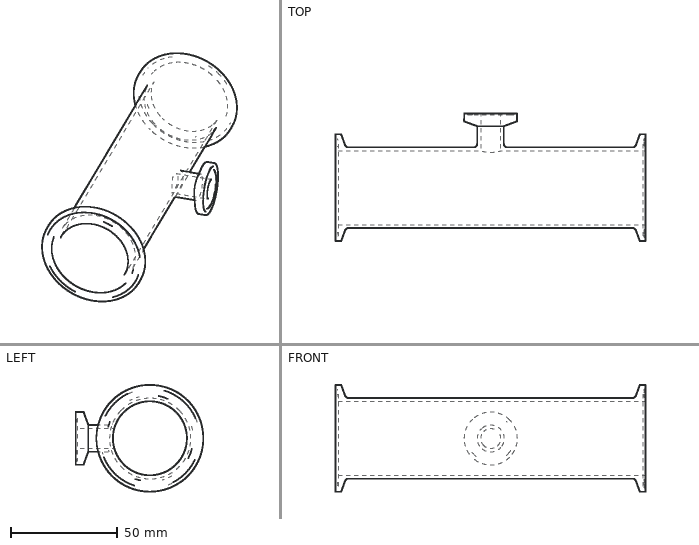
import cadquery as cq
import math

overall_length = 146.0
overall_width = 60.2

tube_diameter = 38.1
tube_bore = 34.8
end_rim_diameter = 50.4
end_rim_thickness = 2.8
end_ferrule_length = 12.4
end_neck_fillet = 1.3
end_groove_diameter = 43.8
end_groove_width = 3.2
end_groove_depth = 1.3

branch_diameter = 12.7
branch_bore = 9.3
branch_rim_diameter = 25.0
branch_rim_thickness = 3.8
branch_ferrule_length = 12.7
branch_groove_outer_diameter = 21.9
branch_groove_width = 1.6
branch_groove_depth = 0.7
branch_root_fillet = 1.5

clamp_angle = 20.0
rim_back_rounding = 0.5
face_edge_rounding = 0.3

half_length = overall_length / 2
branch_face_y = overall_width - end_rim_diameter / 2
stub_end_y = branch_face_y - branch_ferrule_length
tube_length = overall_length - 2 * end_ferrule_length
branch_groove_diameter = branch_groove_outer_diameter - branch_groove_width


def cone_height(rim_diameter, neck_diameter):
    """Height of the conical back between the rim and the neck."""
    return (rim_diameter - neck_diameter) / 2 * math.tan(math.radians(clamp_angle))


def circle_edge_at(height):
    """Selector for the circular edge centred on the Z axis at this height."""
    return cq.selectors.NearestToPointSelector((0, 0, height))


def ferrule_blank(rim_diameter, rim_thickness, neck_diameter, length):
    """Solid clamp ferrule with its face at z = 0 and its neck along +Z."""
    rim_radius = rim_diameter / 2
    neck_radius = neck_diameter / 2
    neck_start = rim_thickness + cone_height(rim_diameter, neck_diameter)
    blank = (
        cq.Workplane("XZ")
        .moveTo(0, 0)
        .lineTo(rim_radius, 0)
        .lineTo(rim_radius, rim_thickness)
        .lineTo(neck_radius, neck_start)
        .lineTo(neck_radius, length)
        .lineTo(0, length)
        .close()
        .revolve(360, (0, 0, 0), (0, 1, 0))
    )
    return blank.edges(circle_edge_at(rim_thickness)).fillet(rim_back_rounding)


def gasket_groove(middle_diameter, width, depth):
    """Ring with a circular section that cuts a groove of this width and depth at z = 0."""
    section_radius = (width ** 2 / 4 + depth ** 2) / (2 * depth)
    return (
        cq.Workplane("XZ")
        .center(middle_diameter / 2, depth - section_radius)
        .circle(section_radius)
        .revolve(360, (-middle_diameter / 2, 0, 0), (-middle_diameter / 2, 1, 0))
    )


def finish_face(ferrule, bore_diameter, length, groove):
    """Bore the ferrule, cut its gasket groove and round the edges of its face."""
    bore = cq.Workplane("XY").circle(bore_diameter / 2).extrude(length)
    return ferrule.cut(bore).cut(groove).faces("<Z").edges().fillet(face_edge_rounding)


def end_ferrule():
    blank = ferrule_blank(end_rim_diameter, end_rim_thickness, tube_diameter, end_ferrule_length)
    neck_start = end_rim_thickness + cone_height(end_rim_diameter, tube_diameter)
    blank = blank.edges(circle_edge_at(neck_start)).fillet(end_neck_fillet)
    groove = gasket_groove(end_groove_diameter, end_groove_width, end_groove_depth)
    return finish_face(blank, tube_bore, end_ferrule_length, groove)


def branch_ferrule():
    blank = ferrule_blank(
        branch_rim_diameter, branch_rim_thickness, branch_diameter, branch_ferrule_length
    )
    groove = gasket_groove(branch_groove_diameter, branch_groove_width, branch_groove_depth)
    return finish_face(blank, branch_bore, branch_ferrule_length, groove)


def tube_with_stub():
    """Straight tube with the filleted branch stub, both bored through."""
    tube = cq.Workplane("YZ").circle(tube_diameter / 2).extrude(tube_length / 2, both=True)
    stub = cq.Workplane("XZ").circle(branch_diameter / 2).extrude(-stub_end_y)
    body = tube.union(stub)
    root_top = (tube_diameter / 2 + stub_end_y) / 2
    root_box = cq.selectors.BoxSelector(
        (-branch_diameter, 0, -branch_diameter), (branch_diameter, root_top, branch_diameter)
    )
    body = body.edges(root_box).fillet(branch_root_fillet)
    main_bore = cq.Workplane("YZ").circle(tube_bore / 2).extrude(tube_length / 2, both=True)
    side_bore = cq.Workplane("XZ").circle(branch_bore / 2).extrude(-stub_end_y)
    return body.cut(main_bore).cut(side_bore)


left_end = end_ferrule().rotate((0, 0, 0), (0, 1, 0), 90).translate((-half_length, 0, 0))
right_end = left_end.mirror("YZ")
branch_end = branch_ferrule().rotate((0, 0, 0), (1, 0, 0), 90).translate((0, branch_face_y, 0))

result = tube_with_stub()
for ferrule in (left_end, right_end, branch_end):
    result = result.union(ferrule, clean=False)